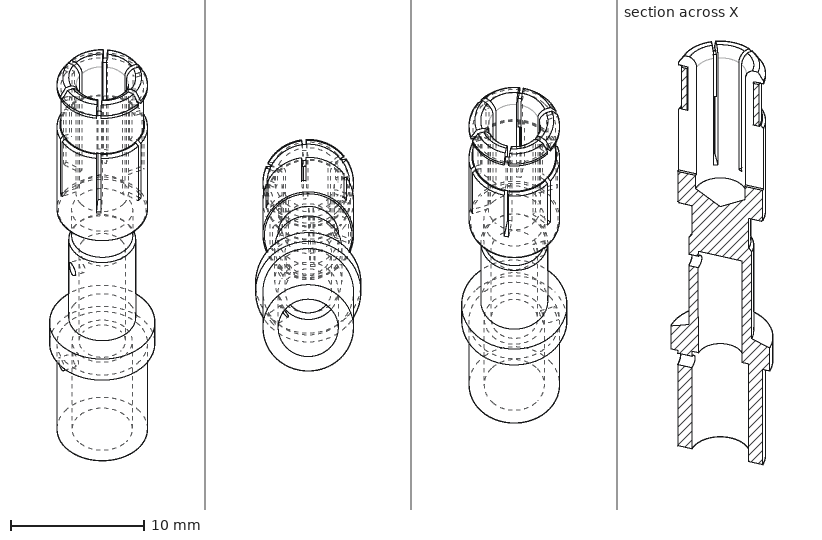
import cadquery as cq
import math

total_length = 36.95

barrel_radius = 3.4
crimp_bore_radius = 2.25
crimp_bore_top = 9.25

flange_radius = 3.95
flange_bottom = 9.0
flange_rim_top = 11.25
flange_cone_top = 11.75

shank_radius = 2.5
shank_top = 20.3
waist_radius = 2.3
shank_chamfer_height = 0.35
shank_bore_radius = 1.75
shank_bore_top = 18.85

sleeve_radius = barrel_radius
sleeve_bottom = 23.02
sleeve_top = 31.95
sleeve_bottom_chamfer = 0.1
sleeve_top_chamfer = 0.22
ring_outer_radius = 3.1
ring_inner_radius = 2.62

lip_bottom = 35.95
lip_edge_height = 0.25
lip_top_radius = 2.95

socket_bore_radius = 1.95
socket_bore_bottom = 24.75
drill_point_angle = 118.0
mouth_radius = 2.5
mouth_arc_radius = 0.9

slot_count = 6
slot_width = 0.35
slot_bottom = 26.0

vent_radius = 0.5
vent_heights = [8.25, 17.85]


def turned_body():
    """Solid outer shape, revolved about Z from (radius, height) points."""
    outline = [
        (0, 0),
        (barrel_radius, 0),
        (barrel_radius, flange_bottom),
        (flange_radius, flange_bottom),
        (flange_radius, flange_rim_top),
        (shank_radius, flange_cone_top),
        (shank_radius, shank_top - shank_chamfer_height),
        (waist_radius, shank_top),
        (waist_radius, sleeve_bottom),
        (sleeve_radius - sleeve_bottom_chamfer, sleeve_bottom),
        (sleeve_radius, sleeve_bottom + sleeve_bottom_chamfer),
        (sleeve_radius, sleeve_top - sleeve_top_chamfer),
        (sleeve_radius - sleeve_top_chamfer, sleeve_top),
        (ring_outer_radius, sleeve_top),
        (ring_outer_radius, lip_bottom),
        (sleeve_radius, lip_bottom),
        (sleeve_radius, lip_bottom + lip_edge_height),
        (lip_top_radius, total_length),
        (0, total_length),
    ]
    return cq.Workplane("XZ").polyline(outline).close().revolve(360, (0, 0, 0), (0, 1, 0))


def socket_bore():
    """Blind bore from the top: drill point below, flared mouth above.

    The flare is an arc that leaves the bore wall tangentially and meets the top face at an angle.
    """
    cone_depth = socket_bore_radius / math.tan(math.radians(drill_point_angle / 2))
    arc_centre_radius = socket_bore_radius + mouth_arc_radius
    sweep = math.acos((arc_centre_radius - mouth_radius) / mouth_arc_radius)
    arc_start = total_length - mouth_arc_radius * math.sin(sweep)
    arc_middle = (
        arc_centre_radius - mouth_arc_radius * math.cos(sweep / 2),
        arc_start + mouth_arc_radius * math.sin(sweep / 2),
    )
    return (
        cq.Workplane("XZ")
        .moveTo(0, socket_bore_bottom - cone_depth)
        .lineTo(socket_bore_radius, socket_bore_bottom)
        .lineTo(socket_bore_radius, arc_start)
        .threePointArc(arc_middle, (mouth_radius, total_length))
        .lineTo(0, total_length)
        .close()
        .revolve(360, (0, 0, 0), (0, 1, 0))
    )


def wire_bore():
    """Stepped blind bore from the bottom: wide in the barrel, narrower up the shank."""
    barrel_step = cq.Workplane("XY").circle(crimp_bore_radius).extrude(crimp_bore_top)
    shank_step = cq.Workplane("XY").circle(shank_bore_radius).extrude(shank_bore_top)
    return barrel_step.union(shank_step)


def finger_slots():
    """Slots running across the full diameter, the first one along Y."""
    slot = (
        cq.Workplane("XY", origin=(0, 0, slot_bottom))
        .rect(slot_width, 2 * flange_radius)
        .extrude(total_length - slot_bottom)
    )
    slots = slot
    cut_count = slot_count // 2
    for index in range(1, cut_count):
        slots = slots.union(slot.rotate((0, 0, 0), (0, 0, 1), index * 180 / cut_count))
    return slots


def retaining_ring():
    """Unslotted ring around the fingers, between the sleeve and the lip."""
    return (
        cq.Workplane("XY", origin=(0, 0, sleeve_top))
        .circle(ring_outer_radius)
        .circle(ring_inner_radius)
        .extrude(lip_bottom - sleeve_top)
    )


def vent_hole(height):
    """Radial hole from the axis out through the -Y side."""
    return cq.Workplane("XZ", origin=(0, 0, height)).circle(vent_radius).extrude(flange_radius)


result = turned_body().cut(socket_bore()).cut(wire_bore())
result = result.cut(finger_slots()).union(retaining_ring())
for vent_height in vent_heights:
    result = result.cut(vent_hole(vent_height))